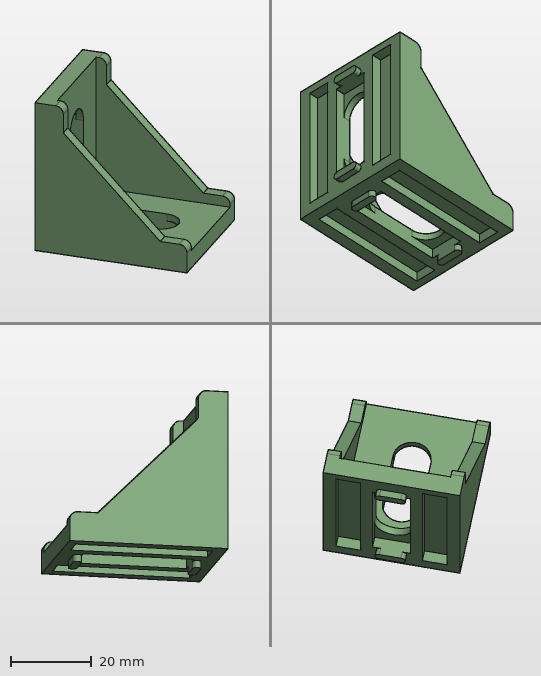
import cadquery as cq


peg_height = 1.8
overall_length = 41.8
leg_length = overall_length - peg_height
width = 34.5
leg_thickness = 4.75
web_thickness = 3.25
web_end_depth = 7.5
web_end_length = 7.02
tip_radius = 2.0

pocket_depth = 2.8
side_pocket_width = 6.2
side_pocket_start = web_thickness
side_pocket_end = leg_length - 2.17
side_pocket_offset = width / 2 - web_thickness - side_pocket_width / 2

slot_width = 9.57
slot_start = 8.9
slot_end = 31.5
centre_pocket_margin = 5.98

peg_thickness = 2.17
peg_width = 7.6


def swap_legs(shape):
    """Turn a shape half a turn about the line x = z, which exchanges X and Z."""
    return shape.rotate((0, 0, 0), (1, 0, 1), 180)


def make_body():
    """Triangular bracket with rounded tips, hollow between its two side webs."""
    diagonal_end = leg_length - web_end_length
    bracket = (
        cq.Workplane("XZ")
        .moveTo(0, 0)
        .lineTo(leg_length, 0)
        .lineTo(leg_length, web_end_depth - tip_radius)
        .radiusArc((leg_length - tip_radius, web_end_depth), -tip_radius)
        .lineTo(diagonal_end, web_end_depth)
        .lineTo(web_end_depth, diagonal_end)
        .lineTo(web_end_depth, leg_length - tip_radius)
        .radiusArc((web_end_depth - tip_radius, leg_length), -tip_radius)
        .lineTo(0, leg_length)
        .close()
        .extrude(width / 2, both=True)
    )
    hollow = cq.Workplane("XY").box(
        leg_length, width - 2 * web_thickness, leg_length, centered=(False, True, False)
    )
    return bracket.cut(hollow.translate((leg_thickness, 0, leg_thickness)))


def make_pocket(pocket_width, y_centre, start, end):
    """Rectangular recess in the outer face of the upright leg, from start to end along Z."""
    recess = cq.Workplane("XY").box(
        pocket_depth, pocket_width, end - start, centered=(False, True, False)
    )
    return recess.translate((0, y_centre, start))


def make_leg_cuts():
    """Two side pockets, the centre pocket and the bolt slot of the upright leg."""
    cuts = make_pocket(slot_width, 0, centre_pocket_margin, leg_length - centre_pocket_margin)
    for side in (-1, 1):
        cuts = cuts.union(
            make_pocket(side_pocket_width, side * side_pocket_offset, side_pocket_start, side_pocket_end)
        )
    slot = (
        cq.Workplane("YZ")
        .center(0, (slot_start + slot_end) / 2)
        .slot2D(slot_end - slot_start, slot_width, 90)
        .extrude(leg_thickness)
    )
    return cuts.union(slot)


def make_pegs():
    """Two round-ended pegs on the upright leg, beyond the ends of the centre pocket."""
    end_distance = centre_pocket_margin - peg_thickness / 2
    return (
        cq.Workplane("YZ")
        .pushPoints([(0, end_distance), (0, leg_length - end_distance)])
        .slot2D(peg_width, peg_thickness)
        .extrude(-peg_height)
    )


leg_cuts = make_leg_cuts()
pegs = make_pegs()
result = make_body()
result = result.cut(leg_cuts).cut(swap_legs(leg_cuts))
result = result.union(pegs).union(swap_legs(pegs))